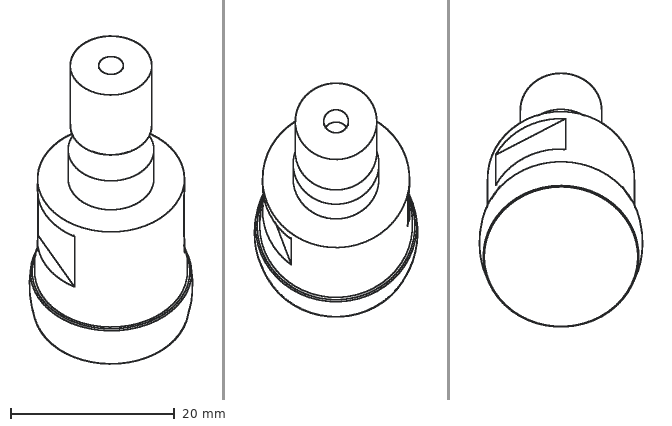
import cadquery as cq
import math

TOTAL_HEIGHT = 42.95
HOUSING_HEIGHT = 22.95
SHOULDER_TOP = 28.05
NECK_HEIGHT = 30.3
GROOVE_TOP = 32.35
CONE_TOP = 9.75
CONE_BOTTOM = 8.35
COLLAR_TOP = 6.5
COLLAR_WIDEST = 4.55

BODY_RADIUS = 8.98
BAND_RADIUS = 9.3
COLLAR_TOP_RADIUS = 9.85
COLLAR_MAX_RADIUS = 9.95
COLLAR_BOTTOM_RADIUS = 9.5
COLLAR_CHAMFER_WIDTH = 0.2
COLLAR_CHAMFER_HEIGHT = 0.15
BOTTOM_CHAMFER = 0.15

FLAT_DISTANCE = 7.5
FLAT_BOTTOM = 12.0
FLAT_TOP = 20.87

SHANK_RADIUS = 5.0
SHOULDER_RADIUS = 5.25
NECK_RADIUS = 3.85
HOLE_RADIUS = 1.5
HOLE_DEPTH = 4.3
DRILL_POINT_ANGLE = 118.0


def make_housing():
    """Stepped round housing with a crowned collar and two wrench flats."""
    housing = (
        cq.Workplane("XZ")
        .moveTo(0, 0)
        .lineTo(COLLAR_BOTTOM_RADIUS - BOTTOM_CHAMFER, 0)
        .lineTo(COLLAR_BOTTOM_RADIUS, BOTTOM_CHAMFER)
        .threePointArc(
            (COLLAR_MAX_RADIUS, COLLAR_WIDEST),
            (COLLAR_TOP_RADIUS, COLLAR_TOP - COLLAR_CHAMFER_HEIGHT),
        )
        .lineTo(COLLAR_TOP_RADIUS - COLLAR_CHAMFER_WIDTH, COLLAR_TOP)
        .lineTo(BAND_RADIUS, COLLAR_TOP)
        .lineTo(BAND_RADIUS, CONE_BOTTOM)
        .lineTo(BODY_RADIUS, CONE_TOP)
        .lineTo(BODY_RADIUS, HOUSING_HEIGHT)
        .lineTo(0, HOUSING_HEIGHT)
        .close()
        .revolve(360, (0, 0), (0, 1))
    )
    for side in (-1, 1):
        housing = housing.cut(make_flat_cutter(side))
    return housing


def make_flat_cutter(side):
    """Block whose inner face lies on the wrench flat of the given Y side."""
    depth = BODY_RADIUS - FLAT_DISTANCE
    return (
        cq.Workplane("XY")
        .box(2 * BODY_RADIUS, depth, FLAT_TOP - FLAT_BOTTOM, centered=(True, True, False))
        .translate((0, side * (FLAT_DISTANCE + depth / 2), FLAT_BOTTOM))
    )


def make_shank():
    """Shank standing on the housing, with a round groove above its shoulder."""
    point_depth = HOLE_RADIUS / math.tan(math.radians(DRILL_POINT_ANGLE / 2))
    hole_bottom = TOTAL_HEIGHT - HOLE_DEPTH
    return (
        cq.Workplane("XZ")
        .moveTo(0, HOUSING_HEIGHT)
        .lineTo(SHOULDER_RADIUS, HOUSING_HEIGHT)
        .lineTo(SHOULDER_RADIUS, SHOULDER_TOP)
        .threePointArc(
            (NECK_RADIUS, NECK_HEIGHT),
            (SHANK_RADIUS, GROOVE_TOP),
        )
        .lineTo(SHANK_RADIUS, TOTAL_HEIGHT)
        .lineTo(HOLE_RADIUS, TOTAL_HEIGHT)
        .lineTo(HOLE_RADIUS, hole_bottom)
        .lineTo(0, hole_bottom - point_depth)
        .close()
        .revolve(360, (0, 0), (0, 1))
    )


housing = make_housing()
shank = make_shank()
result = cq.Compound.makeCompound([housing.val(), shank.val()])